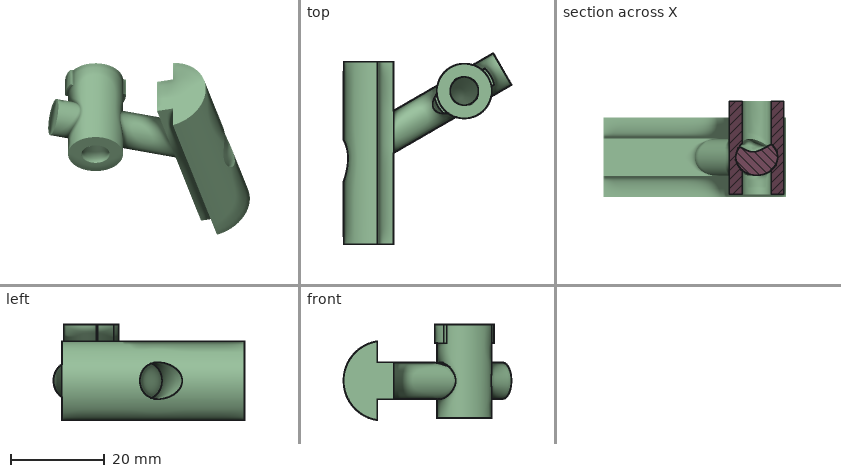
import cadquery as cq
import math


bar_length = 39.05
bar_half_height = 8.45
crown_depth = 7.23
bar_depth = 10.75
stem_height = 7.92

sleeve_x = 25.8
sleeve_y = 32.75
sleeve_radius = 5.88
sleeve_bore_radius = 3.02
sleeve_top = 12.05
sleeve_bottom = -8.0

rod_radius = 3.9
rod_angle = 30.0
rod_inner_reach = 23.45
rod_outer_reach = 9.4

dimple_offset = 1.5
dimple_reach = 6.05
dimple_half_angle = 60.0

tab_outer_radius = 6.5
tab_width = 4.0
tab_height = 4.0


def along_rod(shape):
    """Turn a shape built along +X about the origin onto the rod axis at the sleeve."""
    turned = shape.rotate((0, 0, 0), (0, 0, 1), rod_angle)
    return turned.translate((sleeve_x, sleeve_y, 0))


def rod_cylinder(start, length):
    """Cylinder of the rod's diameter, still lying along X."""
    return cq.Workplane("YZ", origin=(start, 0, 0)).circle(rod_radius).extrude(length)


def make_bar():
    stem_half = stem_height / 2
    profile = (
        cq.Workplane("XZ")
        .moveTo(crown_depth, bar_half_height)
        .threePointArc((0, 0), (crown_depth, -bar_half_height))
        .lineTo(crown_depth, -stem_half)
        .lineTo(bar_depth, -stem_half)
        .lineTo(bar_depth, stem_half)
        .lineTo(crown_depth, stem_half)
        .close()
    )
    bar = profile.extrude(-bar_length)
    hole_length = 2 * rod_inner_reach
    return bar.cut(along_rod(rod_cylinder(-hole_length, hole_length)))


def make_rod():
    rod = rod_cylinder(-rod_inner_reach, rod_inner_reach + rod_outer_reach)
    cone_slope = 1 / math.tan(math.radians(dimple_half_angle))
    apex_z = rod_radius - dimple_reach * cone_slope
    cone_radius = 2 * dimple_reach
    cone = cq.Solid.makeCone(
        0,
        cone_radius,
        cone_radius * cone_slope,
        pnt=cq.Vector(-dimple_offset, 0, apex_z),
    )
    return along_rod(rod.cut(cq.Workplane(cone)))


def make_sleeve():
    sleeve = (
        cq.Workplane("XY", origin=(sleeve_x, sleeve_y, sleeve_bottom))
        .circle(sleeve_radius)
        .circle(sleeve_bore_radius)
        .extrude(sleeve_top - sleeve_bottom)
    )
    return sleeve.cut(along_rod(rod_cylinder(-2 * sleeve_radius, 4 * sleeve_radius)))


def make_tab(side):
    """Curved tab on the sleeve; side is +1 for the free end of the rod, -1 for the bar."""
    ring = (
        cq.Workplane("XY", origin=(0, 0, sleeve_top - tab_height))
        .circle(tab_outer_radius)
        .circle(sleeve_radius)
        .extrude(tab_height)
    )
    block = (
        cq.Workplane("XY", origin=(side * tab_outer_radius / 2, 0, sleeve_top - tab_height))
        .rect(tab_outer_radius, tab_width)
        .extrude(tab_height)
    )
    return along_rod(ring.intersect(block))


bar = make_bar()
rod = make_rod()
sleeve = make_sleeve()
tabs = [make_tab(side) for side in (-1, 1)]

result = cq.Compound.makeCompound(
    [bar.val(), rod.val(), sleeve.val(), *[tab.val() for tab in tabs]]
)